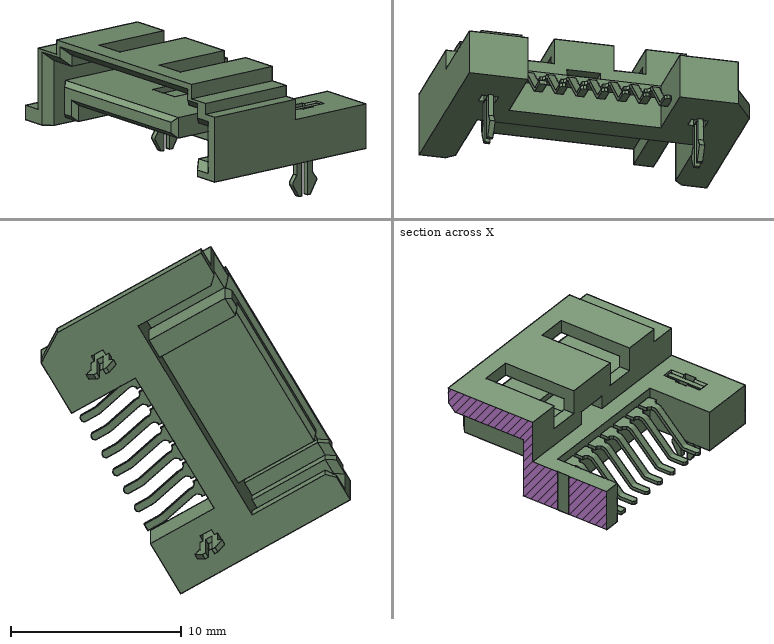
import cadquery as cq
import math


overall_width = 17.48
overall_height = 8.2
depth = 11.5

hood_depth = 6.15
base_height = 2.72
hood_height = 5.5
body_left = -7.98
body_right = 8.36
left_shoulder_height = 4.62
right_step_height = 3.96
hood_left = -6.25
hood_right = 6.22
right_shoulder_end = 7.52

rail_left = body_right - overall_width
rail_height = 0.89
rail_rear_cut = 1.76

cavity_depth = 5.44
cavity_flare = 0.49
cavity_left = -7.1
cavity_right = 7.27
cavity_top_left = -5.44
cavity_top_right = 5.38
cavity_step_right = 6.27
cavity_top = 4.65
cavity_shoulder = 3.97
cavity_right_top = 3.08
ledge_height = 0.89
below_board = -1.0

tongue_left = -5.8
tongue_right = 4.64
tongue_top = 3.08
tongue_bar_bottom = 1.82
tongue_key_bottom = 0.82
tongue_key_right = -4.59
tongue_chamfer = 0.3

window_spans = ((-3.78, -1.86), (1.78, 3.74))
window_front = 1.2
window_floor = 3.9
vent_half_width = 1.02
vent_top = 3.6
vent_front = 3.0

recess_left = -4.42
recess_right = 4.8
recess_front = 7.17

contact_pitch = 1.27
contact_count = 7
contact_thickness = 0.22
contact_top = 2.15
contact_bottom = -0.05
contact_end = 11.22
contact_embed = 1.0
contact_shoulder_width = 1.03
contact_tail_width = 0.45
contact_neck_step = 0.15
contact_shoulder_end = 7.72
contact_taper_end = 7.9
contact_tip_chamfer = 0.13
contact_bend_start = 8.0
contact_bend_radius = 0.34

lock_x = 6.365
lock_thickness = 0.32
lock_bottom = hood_height - overall_height
lock_y = 8.35
lock_gap = 0.42
lock_stem_width = 1.2
lock_barb_width = 1.89
lock_tip_width = 0.86
lock_barb_start = -1.36
lock_barb_z = -1.85
lock_barb_fillet = 0.25
lock_plate_length = 2.56
lock_plate_top = 2.65
lock_plate_bottom = 0.5
lock_slot_length = 2.6
lock_slot_width = 0.72
lock_slot_taper = (lock_slot_width - lock_thickness) / 2
lock_hole_width = 1.02
lock_hole_length = 0.77


def box(x0, x1, y0, y1, z0, z1):
    """Box between two corners."""
    return cq.Workplane("XY").box(x1 - x0, y1 - y0, z1 - z0, centered=False).translate((x0, y0, z0))


def front_prism(points, y_front, y_rear):
    """X-Z outline extruded along Y."""
    plane = cq.Workplane("XZ", origin=(0, y_rear, 0))
    return plane.polyline(points).close().extrude(y_rear - y_front)


def make_housing():
    """Solid stepped hood, low recessed base and guide rail."""
    hood = front_prism(
        [
            (body_left, 0),
            (body_left, left_shoulder_height),
            (hood_left, left_shoulder_height),
            (hood_left, hood_height),
            (hood_right, hood_height),
            (hood_right, left_shoulder_height),
            (right_shoulder_end, left_shoulder_height),
            (right_shoulder_end, right_step_height),
            (body_right, right_step_height),
            (body_right, 0),
        ],
        0,
        hood_depth,
    )
    base = box(body_left, body_right, 0, depth, 0, base_height)
    recess = box(recess_left, recess_right, recess_front, depth, 0, base_height)
    rail = (
        cq.Workplane("XY")
        .polyline(
            [
                (body_left, 0),
                (rail_left, 0),
                (rail_left, depth - rail_rear_cut),
                (body_left, depth),
            ]
        )
        .close()
        .extrude(rail_height)
    )
    return hood.union(base).cut(recess).union(rail)


def cavity_outline(growth):
    """Stepped cavity section, every side moved outwards by `growth`."""
    left = cavity_left - growth
    top_left = cavity_top_left - growth
    top_right = cavity_top_right + growth
    step_right = cavity_step_right + growth
    right = cavity_right + growth
    top = cavity_top + growth
    shoulder = cavity_shoulder + growth
    right_top = cavity_right_top + growth
    ledge = ledge_height - growth
    return [
        (left, below_board),
        (left, shoulder),
        (top_left, shoulder),
        (top_left, top),
        (top_right, top),
        (top_right, shoulder),
        (step_right, shoulder),
        (step_right, right_top),
        (right, right_top),
        (right, ledge),
        (step_right, ledge),
        (step_right, below_board),
    ]


def make_cavity():
    """Stepped cavity with a mitred lead-in around its mouth."""
    straight = front_prism(cavity_outline(0), 0, cavity_depth)
    mouth = (
        cq.Workplane("XZ", origin=(0, cavity_flare, 0))
        .polyline(cavity_outline(0))
        .close()
        .workplane(offset=cavity_flare)
        .polyline(cavity_outline(cavity_flare))
        .close()
        .loft(ruled=True)
    )
    return straight.union(mouth)


def make_tongue():
    """L-shaped tongue, joined to the rear wall and chamfered at its front end."""
    tongue = front_prism(
        [
            (tongue_left, tongue_key_bottom),
            (tongue_left, tongue_top),
            (tongue_right, tongue_top),
            (tongue_right, tongue_bar_bottom),
            (tongue_key_right, tongue_bar_bottom),
            (tongue_key_right, tongue_key_bottom),
        ],
        0,
        hood_depth,
    )
    return tongue.faces("<Y").edges().chamfer(tongue_chamfer)


def make_contact(x, pointed):
    """Flat strip bent down to the board at 45 degrees, with a wide shoulder at the housing."""
    start_y = recess_front - contact_embed
    upper_z = contact_top - contact_thickness / 2
    lower_z = contact_bottom + contact_thickness / 2
    bend_run = contact_bend_radius * math.sin(math.pi / 4)
    bend_drop = contact_bend_radius * (1 - math.cos(math.pi / 4))
    slope = upper_z - lower_z - 2 * bend_drop
    slope_start = (contact_bend_start + bend_run, upper_z - bend_drop)
    slope_end = (slope_start[0] + slope, slope_start[1] - slope)
    center_line = (
        cq.Workplane("YZ", origin=(x, 0, 0))
        .moveTo(start_y, upper_z)
        .lineTo(contact_bend_start, upper_z)
        .tangentArcPoint(slope_start, relative=False)
        .lineTo(*slope_end)
        .tangentArcPoint((slope_end[0] + bend_run, lower_z), relative=False)
        .lineTo(contact_end, lower_z)
    )
    strip = (
        cq.Workplane("XZ", origin=(x, start_y, upper_z))
        .rect(contact_shoulder_width, contact_thickness)
        .sweep(center_line)
    )

    tip_chamfer = contact_tip_chamfer if pointed else 0
    half_tail = contact_tail_width / 2
    right_side = [
        (contact_shoulder_width / 2, start_y),
        (contact_shoulder_width / 2, contact_shoulder_end),
        (half_tail + contact_neck_step, contact_shoulder_end),
        (half_tail, contact_taper_end),
        (half_tail, contact_end - tip_chamfer),
    ]
    if pointed:
        right_side.append((half_tail - tip_chamfer, contact_end))
    left_side = [(-across, along) for across, along in reversed(right_side)]
    blank = (
        cq.Workplane("XY", origin=(x, 0, contact_bottom))
        .polyline(right_side + left_side)
        .close()
        .extrude(contact_top - contact_bottom)
    )
    return strip.intersect(blank)


def make_lock(x):
    """Flat plate with two barbed prongs, split by a gap below the housing."""
    outline = [
        (lock_plate_length / 2, lock_plate_top),
        (lock_plate_length / 2, lock_plate_bottom),
        (lock_stem_width / 2, lock_plate_bottom),
        (lock_stem_width / 2, lock_barb_start),
        (lock_barb_width / 2, lock_barb_z),
        (lock_tip_width / 2, lock_bottom),
    ]
    mirrored = [(-along, z) for along, z in reversed(outline)]
    plate = (
        cq.Workplane("YZ", origin=(x - lock_thickness / 2, lock_y, 0))
        .polyline(outline + mirrored)
        .close()
        .extrude(lock_thickness)
    )
    front_barb_y = lock_y - lock_barb_width / 2
    barb_edge = cq.selectors.NearestToPointSelector((x, front_barb_y, lock_barb_z))
    plate = plate.edges("|X").edges(barb_edge).fillet(lock_barb_fillet)
    gap = box(
        x - lock_thickness,
        x + lock_thickness,
        lock_y - lock_gap / 2,
        lock_y + lock_gap / 2,
        lock_bottom,
        0,
    )
    return plate.cut(gap)


def make_lock_opening(x):
    """Tapered slot mouth around the plate and a wider hole through the base."""
    mouth = (
        cq.Workplane("XY", origin=(x, lock_y, base_height))
        .rect(lock_slot_width, lock_slot_length)
        .workplane(offset=-lock_slot_taper)
        .rect(lock_thickness, lock_slot_length - 2 * lock_slot_taper)
        .loft()
    )
    hole = box(
        x - lock_hole_width / 2,
        x + lock_hole_width / 2,
        lock_y - lock_hole_length / 2,
        lock_y + lock_hole_length / 2,
        0,
        base_height,
    )
    return mouth.union(hole)


result = make_housing().cut(make_cavity()).union(make_tongue())

for window_left, window_right in window_spans:
    window = box(window_left, window_right, window_front, hood_depth, window_floor, hood_height)
    result = result.cut(window)

vent = box(-vent_half_width, vent_half_width, vent_front, hood_depth, base_height, vent_top)
result = result.cut(vent)

for index in range(contact_count):
    contact_x = (index - (contact_count - 1) / 2) * contact_pitch
    is_last = index == contact_count - 1
    result = result.union(make_contact(contact_x, pointed=not is_last))

for lock_center in (-lock_x, lock_x):
    result = result.cut(make_lock_opening(lock_center)).union(make_lock(lock_center))